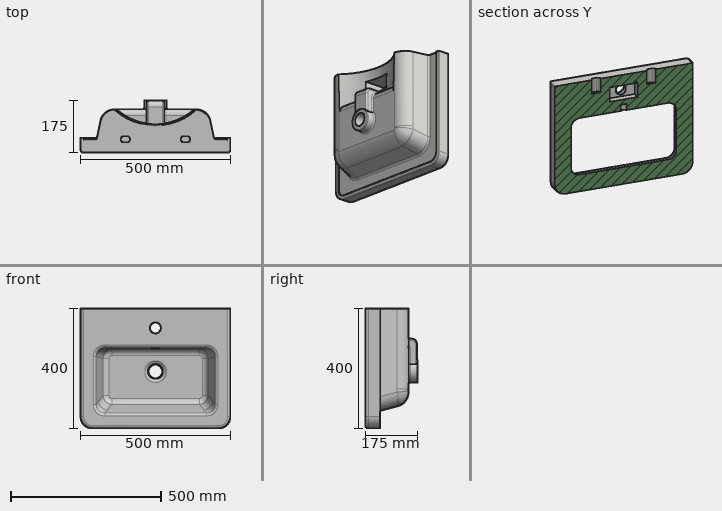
import cadquery as cq
import math

width = 500.0
height = 400.0
rim_thickness = 50.0
rim_corner_radius = 40.0
front_edge_radius = 10.0
fine_edge_radius = 2.0
pick_margin = 0.5

lip_width = 13.0
recess_floor = 45.0

body_back = 145.0
body_half_width = 206.0
body_bottom = 45.0
body_side_draft = 12.0
body_bottom_draft = 15.0
body_radius = 50.0
body_root_radius = 7.5

scoop_radius = 200.0
scoop_depth = 52.5
scoop_draft = 1.5
scoop_floor = 285.0
shelf_edge_radius = 20.0

bowl_half_width = 200.0
bowl_bottom = 50.0
bowl_top = 270.0
bowl_depth = 120.0
bowl_side_draft = 13.5
bowl_bottom_draft = 16.5
bowl_top_draft = 3.4
bowl_corner_radius = 30.0
bowl_floor_radius = 20.0
bowl_mouth_radius = 10.0

drain_height = 190.0
boss_radius = 37.5
boss_back = 175.0
drain_radius = 22.5
drain_neck_radius = 25.0
drain_mouth_radius = 35.5
drain_mouth_fillet = 2.0
drain_funnel_depth = 6.0
drain_neck_depth = 6.0

rib_half_width = 29.0
rib_back = 173.0
rib_top = 300.0
rib_corner_radius = 20.0
rib_edge_radius = 6.0
rib_root_radius = 5.0
overflow_radius = 12.0
overflow_y = 50.0
overflow_rise = 20.0

tap_radius = 18.0
tap_height = 335.0
tap_wall = 20.0
tap_recess_width = 100.0
tap_recess_height = 50.0
slot_length = 31.0
slot_width = 21.0
slot_spacing = 200.0
slot_y = 45.0
slot_depth = 50.0


def slope(angle):
    return math.tan(math.radians(angle))


def plan_prism(points, z_low, z_high):
    """Prism along Z over an XY outline."""
    return cq.Workplane("XY").workplane(offset=z_low).polyline(points).close().extrude(z_high - z_low)


def side_prism(points):
    """Prism along X over a YZ outline, as wide as the slab."""
    return cq.Workplane("YZ").polyline(points).close().extrude(width / 2, both=True)


def drafted_block(half_width, bottom, top, depth, side_draft, bottom_draft, top_draft):
    """Block whose sides, bottom and top close in from Y = 0 to Y = depth."""
    back_half_width = half_width - depth * slope(side_draft)
    plan = [(-half_width, 0), (half_width, 0), (back_half_width, depth), (-back_half_width, depth)]
    back_bottom = bottom + depth * slope(bottom_draft)
    back_top = top - depth * slope(top_draft)
    side = [(0, bottom), (0, top), (depth, back_top), (depth, back_bottom)]
    return plan_prism(plan, 0, height).intersect(side_prism(side))


def back_rod(radius, z, y_start, y_end):
    """Cylinder along +Y on the X = 0 plane."""
    rod = cq.Solid.makeCylinder(radius, y_end - y_start, cq.Vector(0, y_start, z), cq.Vector(0, 1, 0))
    return cq.Workplane(obj=rod)


def oblique_edges(block):
    """The edges of a drafted block where two drafted faces meet."""
    return block.edges("not (|X or #Z or |Z)")


def edges_in_box(solid, low, high):
    """Edges whose centres lie between two opposite corners."""
    return solid.edges(cq.selectors.BoxSelector(low, high))


def make_slab():
    slab = cq.Workplane("XY").box(width, rim_thickness, height, centered=(True, False, False))
    slab = slab.edges("|Y and <Z").fillet(rim_corner_radius)
    slab = slab.faces("<Y").edges("not >Z").fillet(front_edge_radius)
    slab = slab.faces(">Y").edges("not >Z").fillet(fine_edge_radius)
    recess = (
        cq.Workplane("XY")
        .box(width - 2 * lip_width, rim_thickness, height, centered=(True, False, False))
        .edges("|Y and <Z")
        .fillet(rim_corner_radius - lip_width)
    )
    return slab.cut(recess.translate((0, recess_floor, lip_width)))


def make_body():
    body = drafted_block(
        body_half_width, body_bottom, height, body_back, body_side_draft, body_bottom_draft, top_draft=0
    )
    body = oblique_edges(body).fillet(body_radius)
    return body.faces(">Y").edges("not >Z").fillet(body_radius)


def join_body(slab, body):
    """Join the body to the slab and round the root where it meets the recess floor."""
    shell = slab.union(body)
    low = (-body_half_width, recess_floor - pick_margin, body_bottom)
    high = (body_half_width, recess_floor + pick_margin, height - pick_margin)
    return edges_in_box(shell, low, high).fillet(body_root_radius)


def cut_scoop(shell):
    """Cut the drafted round scoop down to a shelf over the bowl and round the shelf's back edge."""
    scoop = (
        cq.Workplane("XY")
        .workplane(offset=height)
        .center(0, body_back - scoop_depth + scoop_radius)
        .circle(scoop_radius)
        .extrude(scoop_floor - height, taper=scoop_draft)
    )
    shell = shell.cut(scoop)
    low = (-pick_margin, body_back - pick_margin, scoop_floor - pick_margin)
    high = (pick_margin, body_back + pick_margin, scoop_floor + pick_margin)
    return edges_in_box(shell, low, high).fillet(shelf_edge_radius)


def make_rib():
    """Overflow rib from the shelf, over the back edge and down to the drain boss."""
    start = body_back - scoop_depth
    rib = (
        cq.Workplane("XY")
        .box(2 * rib_half_width, rib_back - start, rib_top - drain_height, centered=(True, False, False))
        .translate((0, start, drain_height))
    )
    rib = rib.edges(">Y and >Z").fillet(rib_corner_radius)
    return rib.faces(">Z").edges("|Y").fillet(rib_edge_radius)


def make_boss():
    boss = back_rod(boss_radius, drain_height, bowl_depth, boss_back)
    return boss.faces(">Y").edges().fillet(fine_edge_radius)


def join_rib(basin):
    """Join the rib and the boss to the basin and round their common root."""
    basin = basin.union(make_rib().union(make_boss()))
    reach = boss_radius + pick_margin
    low = (-reach, body_back - scoop_depth + rib_root_radius, drain_height - reach)
    high = (reach, body_back + pick_margin, scoop_floor + pick_margin)
    return edges_in_box(basin, low, high).fillet(rib_root_radius)


def make_bowl():
    bowl = drafted_block(
        bowl_half_width, bowl_bottom, bowl_top, bowl_depth, bowl_side_draft, bowl_bottom_draft, bowl_top_draft
    )
    bowl = oblique_edges(bowl).fillet(bowl_corner_radius)
    return bowl.faces(">Y").edges().fillet(bowl_floor_radius)


def cut_bowl(basin):
    basin = basin.cut(make_bowl())
    low = (-bowl_half_width - pick_margin, -pick_margin, bowl_bottom - pick_margin)
    high = (bowl_half_width + pick_margin, pick_margin, bowl_top + pick_margin)
    return edges_in_box(basin, low, high).fillet(bowl_mouth_radius)


def cut_drain(basin):
    """Cut the stepped funnel and the hole through the boss, and round the funnel's mouth."""
    funnel_end = bowl_depth + drain_funnel_depth
    neck_end = funnel_end + drain_neck_depth
    profile = [
        (0, bowl_depth),
        (drain_mouth_radius, bowl_depth),
        (drain_neck_radius, funnel_end),
        (drain_radius, neck_end),
        (drain_radius, boss_back),
        (0, boss_back),
    ]
    drain = cq.Workplane("XY").polyline(profile).close().revolve(360, (0, 0, 0), (0, 1, 0))
    basin = basin.cut(drain.translate((0, 0, drain_height)))
    low = (-pick_margin, bowl_depth - pick_margin, drain_height - pick_margin)
    high = (pick_margin, bowl_depth + pick_margin, drain_height + pick_margin)
    return edges_in_box(basin, low, high).fillet(drain_mouth_fillet)


def slot_cutter():
    return (
        cq.Workplane("XY")
        .workplane(offset=height - slot_depth)
        .pushPoints([(-slot_spacing / 2, slot_y), (slot_spacing / 2, slot_y)])
        .slot2D(slot_length, slot_width)
        .extrude(slot_depth)
    )


def tap_cutter():
    """Tap hole through the front wall, opening into a flat-floored recess cut from the scoop."""
    recess = (
        cq.Workplane("XY")
        .box(tap_recess_width, body_back - tap_wall, tap_recess_height, centered=(True, False, True))
        .translate((0, tap_wall, tap_height))
    )
    return recess.union(back_rod(tap_radius, tap_height, 0, body_back))


def overflow_cutter():
    return (
        cq.Workplane("XY")
        .workplane(offset=bowl_top - overflow_rise)
        .center(0, overflow_y)
        .circle(overflow_radius)
        .extrude(2 * overflow_rise)
    )


basin = join_body(make_slab(), make_body())
basin = cut_scoop(basin)
basin = basin.faces(">Z").edges().fillet(fine_edge_radius)
basin = join_rib(basin)
basin = cut_bowl(basin)
basin = cut_drain(basin)
basin = basin.cut(slot_cutter()).cut(overflow_cutter())
result = basin.cut(tap_cutter())